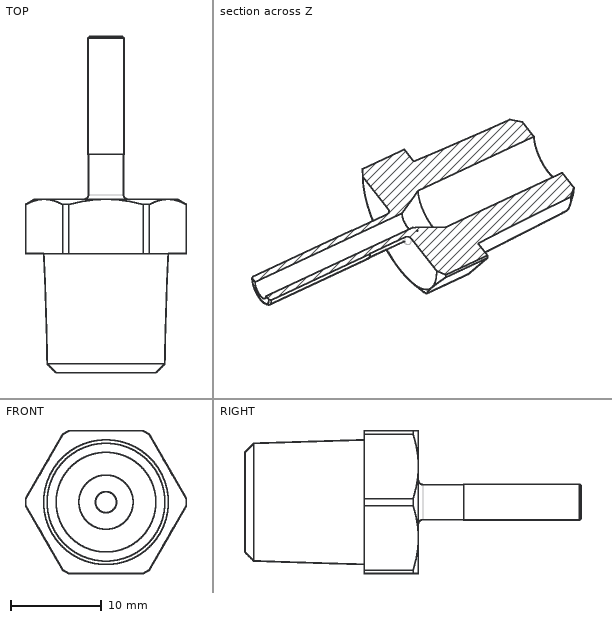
import cadquery as cq
import math

hex_length = 6.0
thread_length = 13.2
tube_length = 18.0

hex_across_flats = 15.8
hex_turned_diameter = 17.8
hex_chamfer_angle = 30.0

thread_taper = 1.0 / 16.0
thread_base_diameter = 13.8
thread_chamfer = 1.0

tube_diameter = 4.0
tube_neck_diameter = 3.9
tube_neck_length = 5.0
tube_root_fillet = 0.5
tube_end_chamfer = 0.2

bore_diameter = 6.0
bore_depth = 15.0
bore_cone_angle = 60.0
through_diameter = 2.3

thread_end_y = -thread_length
tube_end_y = hex_length + tube_length


def revolve_about_y(outline):
    """Revolve a closed outline, sketched in the YZ plane, about the Y axis."""
    return outline.revolve(360, (0, 0, 0), (1, 0, 0))


def revolve_points(points):
    """Revolve a closed outline of (y, radius) points about the Y axis."""
    return revolve_about_y(cq.Workplane("YZ").polyline(points).close())


def make_thread_body():
    base_radius = thread_base_diameter / 2
    taper_length = thread_length - thread_chamfer
    end_radius = base_radius - thread_taper * taper_length / 2
    return revolve_points([
        (0, 0),
        (0, base_radius),
        (-taper_length, end_radius),
        (thread_end_y, end_radius - thread_chamfer),
        (thread_end_y, 0),
    ])


def make_hexagon():
    corner_diameter = hex_across_flats / math.cos(math.radians(30))
    prism = cq.Workplane("XZ").polygon(6, corner_diameter).extrude(-hex_length)
    turned_radius = hex_turned_diameter / 2
    face_radius = hex_across_flats / 2
    chamfer_depth = (turned_radius - face_radius) * math.tan(math.radians(hex_chamfer_angle))
    blank = revolve_points([
        (0, 0),
        (0, turned_radius),
        (hex_length - chamfer_depth, turned_radius),
        (hex_length, face_radius),
        (hex_length, 0),
    ])
    return prism.intersect(blank)


def make_tube():
    neck_radius = tube_neck_diameter / 2
    radius = tube_diameter / 2
    neck_end_y = hex_length + tube_neck_length
    fillet_offset = tube_root_fillet * (1 - math.sqrt(0.5))
    outline = (
        cq.Workplane("YZ")
        .moveTo(hex_length, 0)
        .lineTo(hex_length, neck_radius + tube_root_fillet)
        .threePointArc(
            (hex_length + fillet_offset, neck_radius + fillet_offset),
            (hex_length + tube_root_fillet, neck_radius),
        )
        .lineTo(neck_end_y, neck_radius)
        .lineTo(neck_end_y, radius)
        .lineTo(tube_end_y - tube_end_chamfer, radius)
        .lineTo(tube_end_y, radius - tube_end_chamfer)
        .lineTo(tube_end_y, 0)
        .close()
    )
    return revolve_about_y(outline)


def make_bore():
    bore_radius = bore_diameter / 2
    through_radius = through_diameter / 2
    bore_end_y = thread_end_y + bore_depth
    cone_length = (bore_radius - through_radius) / math.tan(math.radians(bore_cone_angle / 2))
    return revolve_points([
        (thread_end_y, 0),
        (thread_end_y, bore_radius),
        (bore_end_y, bore_radius),
        (bore_end_y + cone_length, through_radius),
        (tube_end_y, through_radius),
        (tube_end_y, 0),
    ])


result = make_hexagon().union(make_thread_body()).union(make_tube()).cut(make_bore())